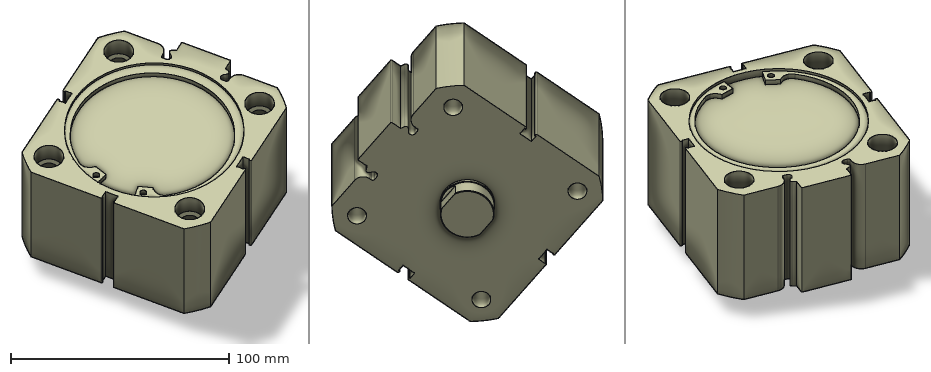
import cadquery as cq
import math

TOTAL_DEPTH = 102.0
TOTAL_HEIGHT = 68.5
BODY_WIDTH = 96.5
BODY_HEIGHT = 58.4
CORNER_DIAMETER = 124.2
HALF_BODY = BODY_WIDTH / 2

RAIL_TOP_Y = TOTAL_DEPTH - HALF_BODY
RAIL_HALF_WIDTH = 12.5
RAIL_ROUNDING = 0.4
NOSE_START = (14.6, 47.3)
NOSE_TIP = (15.1, 46.4)
NOSE_END = (14.7, 45.5)
UNDERCUT_START = (13.3, 44.3)
UNDERCUT_DEEPEST = (12.8, 42.9)
UNDERCUT_END_X = 14.4
GROOVE_FLOOR_Y = 41.3
GROOVE_OUTER_X = 17.0
GROOVE_CORNER_RADIUS = 1.0
GROOVE_MOUTH_RADIUS = 5.0

SLOT_DEPTH = 4.5
SIDE_SLOT_WIDTH = 6.6
SIDE_SLOT_MOUTH = 5.3
SIDE_LIP_THICKNESS = 1.1
FRONT_SLOT_WIDTH = 6.3
FRONT_SLOT_MOUTH = 5.6
FRONT_LIP_THICKNESS = 0.8
LIP_ROUNDING = 0.5

HOLE_SPACING = 72.0
HOLE_DIAMETER = 8.6
COUNTERBORE_DIAMETER = 13.6
COUNTERBORE_DEPTH = 9.4

BORE_DIAMETER = 82.2
BORE_RADIUS = BORE_DIAMETER / 2
RING_RECESS = 1.3
RING_THICKNESS = 2.5
COVER_THICKNESS = 10.2
COVER_TOP_Z = BODY_HEIGHT - RING_RECESS - RING_THICKNESS
COVER_BOTTOM_Z = COVER_TOP_Z - COVER_THICKNESS

RING_INNER_RADIUS = 37.7
RING_OFFSET = 1.8
RING_GAP_HALF_WIDTH = 9.6
LUG_GAP_CORNER = (8.2, -33.3)
LUG_PEAK = (14.7, -30.9)
LUG_NECK_MID = (16.9, -32.7)
LUG_NECK_END = (19.6, -33.4)
LUG_BLEND_MID = (21.1, -32.9)
LUG_ROOT_X = 22.4
LUG_HOLE_X = 12.0
LUG_HOLE_Y = -35.6
LUG_HOLE_DIAMETER = 3.1

ROD_DIAMETER = 25.1
TIP_DIAMETER = 24.6
FLAT_WIDTH = 22.1
ROD_PROTRUSION = TOTAL_HEIGHT - BODY_HEIGHT
ROD_SHOULDER = 1.8
SHOULDER_CHAMFER = (ROD_DIAMETER - TIP_DIAMETER) / 2
FLAT_HEIGHT = 6.9
TIP_CHAMFER = 0.3


def make_groove(side):
    """Undercut groove beside the rail; side is +1 or -1 along X."""
    corner_mid = GROOVE_CORNER_RADIUS * (1 - math.sqrt(0.5))
    mouth_mid = GROOVE_MOUTH_RADIUS * (1 - math.sqrt(0.5))
    mouth_x = GROOVE_OUTER_X + GROOVE_MOUTH_RADIUS

    def at(x, y):
        return (side * x, y)

    return (
        cq.Workplane("XY")
        .moveTo(*at(RAIL_HALF_WIDTH, RAIL_TOP_Y))
        .lineTo(*at(RAIL_HALF_WIDTH, HALF_BODY))
        .lineTo(*at(*NOSE_START))
        .threePointArc(at(*NOSE_TIP), at(*NOSE_END))
        .lineTo(*at(*UNDERCUT_START))
        .threePointArc(at(*UNDERCUT_DEEPEST), at(UNDERCUT_END_X, GROOVE_FLOOR_Y))
        .lineTo(*at(GROOVE_OUTER_X - GROOVE_CORNER_RADIUS, GROOVE_FLOOR_Y))
        .threePointArc(
            at(GROOVE_OUTER_X - corner_mid, GROOVE_FLOOR_Y + corner_mid),
            at(GROOVE_OUTER_X, GROOVE_FLOOR_Y + GROOVE_CORNER_RADIUS),
        )
        .lineTo(*at(GROOVE_OUTER_X, HALF_BODY - GROOVE_MOUTH_RADIUS))
        .threePointArc(at(GROOVE_OUTER_X + mouth_mid, HALF_BODY - mouth_mid), at(mouth_x, HALF_BODY))
        .lineTo(*at(mouth_x, RAIL_TOP_Y))
        .close()
        .extrude(BODY_HEIGHT)
    )


def make_slot(width, mouth, lip, angle):
    """Lipped slot cut into the -Y side, turned about Z by the given angle."""
    floor_y = SLOT_DEPTH - HALF_BODY
    lip_y = lip - HALF_BODY
    chamber = cq.Workplane("XY").rect(width, SLOT_DEPTH - lip).extrude(BODY_HEIGHT)
    chamber = chamber.translate((0, (floor_y + lip_y) / 2, 0))
    flare = mouth / 2 + LIP_ROUNDING
    opening = (
        cq.Workplane("XY")
        .moveTo(-mouth / 2, floor_y)
        .lineTo(mouth / 2, floor_y)
        .lineTo(mouth / 2, LIP_ROUNDING - HALF_BODY)
        .radiusArc((flare, -HALF_BODY), -LIP_ROUNDING)
        .lineTo(-flare, -HALF_BODY)
        .radiusArc((-mouth / 2, LIP_ROUNDING - HALF_BODY), -LIP_ROUNDING)
        .close()
        .extrude(BODY_HEIGHT)
    )
    return chamber.union(opening).rotate((0, 0, 0), (0, 0, 1), angle)


def make_housing():
    """Housing with rail, slots, mounting holes, cover bore and rod bore."""
    square = cq.Workplane("XY").rect(BODY_WIDTH, BODY_WIDTH).extrude(BODY_HEIGHT)
    turned = cq.Workplane("XY").circle(CORNER_DIAMETER / 2).extrude(BODY_HEIGHT)
    rail = (
        cq.Workplane("XY")
        .rect(2 * GROOVE_OUTER_X, RAIL_TOP_Y)
        .extrude(BODY_HEIGHT)
        .translate((0, RAIL_TOP_Y / 2, 0))
    )
    body = square.intersect(turned).union(rail)
    for side in (1, -1):
        body = body.cut(make_groove(side))
        body = body.cut(make_slot(SIDE_SLOT_WIDTH, SIDE_SLOT_MOUTH, SIDE_LIP_THICKNESS, side * 90))
    body = body.cut(make_slot(FRONT_SLOT_WIDTH, FRONT_SLOT_MOUTH, FRONT_LIP_THICKNESS, 0))
    body = body.edges("|Z and >Y").fillet(RAIL_ROUNDING)
    body = (
        body.faces(">Z")
        .workplane(origin=(0, 0, BODY_HEIGHT))
        .rect(HOLE_SPACING, HOLE_SPACING, forConstruction=True)
        .vertices()
        .cboreHole(HOLE_DIAMETER, COUNTERBORE_DIAMETER, COUNTERBORE_DEPTH)
    )
    cover_bore = (
        cq.Workplane("XY", origin=(0, 0, COVER_BOTTOM_Z))
        .circle(BORE_RADIUS)
        .extrude(BODY_HEIGHT - COVER_BOTTOM_Z)
    )
    rod_bore = cq.Workplane("XY").circle(ROD_DIAMETER / 2).extrude(COVER_BOTTOM_Z)
    return body.cut(cover_bore).cut(rod_bore)


def make_cover():
    """Round cover that closes the bore below the snap ring."""
    return cq.Workplane("XY", origin=(0, 0, COVER_BOTTOM_Z)).circle(BORE_RADIUS).extrude(COVER_THICKNESS)


def make_snap_ring():
    """Open ring with a drilled lug at each end, on top of the cover."""
    gap_y = -math.sqrt(BORE_RADIUS**2 - RING_GAP_HALF_WIDTH**2)
    root_y = -RING_OFFSET - math.sqrt(RING_INNER_RADIUS**2 - LUG_ROOT_X**2)
    left_root = (-LUG_ROOT_X, root_y)
    right_root = (LUG_ROOT_X, root_y)

    def left(point):
        return (-point[0], point[1])

    ring = (
        cq.Workplane("XY", origin=(0, 0, COVER_TOP_Z))
        .moveTo(RING_GAP_HALF_WIDTH, gap_y)
        .threePointArc((0, BORE_RADIUS), (-RING_GAP_HALF_WIDTH, gap_y))
        .lineTo(*left(LUG_GAP_CORNER))
        .lineTo(*left(LUG_PEAK))
        .threePointArc(left(LUG_NECK_MID), left(LUG_NECK_END))
        .threePointArc(left(LUG_BLEND_MID), left_root)
        .threePointArc((0, RING_INNER_RADIUS - RING_OFFSET), right_root)
        .threePointArc(LUG_BLEND_MID, LUG_NECK_END)
        .threePointArc(LUG_NECK_MID, LUG_PEAK)
        .lineTo(*LUG_GAP_CORNER)
        .close()
        .extrude(RING_THICKNESS)
    )
    lug_holes = (
        cq.Workplane("XY", origin=(0, 0, COVER_TOP_Z))
        .pushPoints([(-LUG_HOLE_X, LUG_HOLE_Y), (LUG_HOLE_X, LUG_HOLE_Y)])
        .circle(LUG_HOLE_DIAMETER / 2)
        .extrude(RING_THICKNESS)
    )
    return ring.cut(lug_holes)


def make_rod():
    """Rod from the cover down to its tip, which carries two flats facing -Y and +Y."""
    shaft = (
        cq.Workplane("XY", origin=(0, 0, -ROD_SHOULDER))
        .circle(ROD_DIAMETER / 2)
        .extrude(ROD_SHOULDER + COVER_BOTTOM_Z)
        .faces("<Z")
        .chamfer(SHOULDER_CHAMFER)
    )
    tip = (
        cq.Workplane("XY", origin=(0, 0, -ROD_PROTRUSION))
        .circle(TIP_DIAMETER / 2)
        .extrude(ROD_PROTRUSION - ROD_SHOULDER)
        .faces("<Z")
        .chamfer(TIP_CHAMFER)
    )
    flat_top_z = FLAT_HEIGHT - ROD_PROTRUSION
    run_out = (TIP_DIAMETER - FLAT_WIDTH) / 2
    for side in (1, -1):
        flat_cut = (
            cq.Workplane("YZ", origin=(-TIP_DIAMETER / 2, 0, 0))
            .moveTo(side * FLAT_WIDTH / 2, -ROD_PROTRUSION)
            .lineTo(side * FLAT_WIDTH / 2, flat_top_z)
            .lineTo(side * TIP_DIAMETER / 2, flat_top_z + run_out)
            .lineTo(side * TIP_DIAMETER / 2, -ROD_PROTRUSION)
            .close()
            .extrude(TIP_DIAMETER)
        )
        tip = tip.cut(flat_cut)
    return shaft.union(tip)


housing = make_housing()
cover = make_cover()
snap_ring = make_snap_ring()
rod = make_rod()

bodies = [housing, cover, snap_ring, rod]
result = cq.Compound.makeCompound([body.solids().val() for body in bodies])